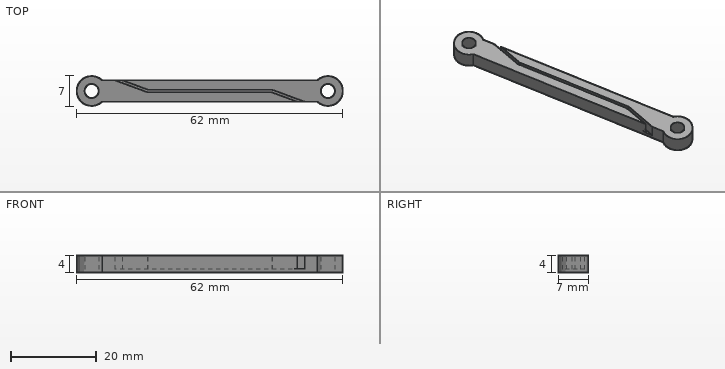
import cadquery as cq
import math

length = 62.0
eye_diameter = 7.0
hole_diameter = 3.2
thickness = 4.0
bar_width = 5.0
eye_spacing = length - eye_diameter

groove_width = 0.6
groove_depth = 3.1
bend_x = 14.45
exit_x = 21.25
overrun = 1.3


def make_link():
    eye_centers = [(-eye_spacing / 2, 0), (eye_spacing / 2, 0)]
    bar = cq.Workplane("XY").rect(eye_spacing, bar_width).extrude(thickness)
    eyes = cq.Workplane("XY").pushPoints(eye_centers).circle(eye_diameter / 2).extrude(thickness)
    holes = cq.Workplane("XY").pushPoints(eye_centers).circle(hole_diameter / 2).extrude(thickness)
    return bar.union(eyes).cut(holes)


def make_groove():
    end_x = bend_x + overrun * (exit_x - bend_x)
    end_y = overrun * bar_width / 2
    slant = math.atan2(end_y, end_x - bend_x)
    half_width = groove_width / 2
    mitre_shift = half_width * math.tan(slant / 2)
    end_shift = half_width / math.cos(slant)
    outline = [
        (-end_x, end_y + end_shift),
        (-bend_x + mitre_shift, half_width),
        (bend_x + mitre_shift, half_width),
        (end_x, -end_y + end_shift),
        (end_x, -end_y - end_shift),
        (bend_x - mitre_shift, -half_width),
        (-bend_x - mitre_shift, -half_width),
        (-end_x, end_y - end_shift),
    ]
    floor = cq.Workplane("XY").workplane(offset=thickness - groove_depth)
    return floor.polyline(outline).close().extrude(groove_depth)


result = make_link().cut(make_groove())